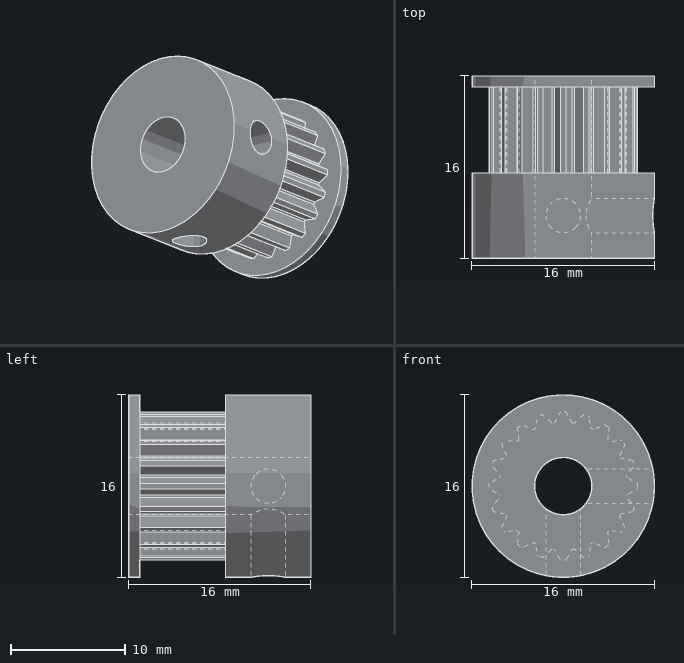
import cadquery as cq
import math

outer_diameter = 16.0
total_length = 16.0
hub_length = 7.5
flange_thickness = 1.0
bore_diameter = 5.0

tooth_count = 20
tip_radius = 6.5
root_radius = 5.6
tip_width = 0.48
root_width = 0.2

screw_hole_diameter = 3.0

hub_face_y = -total_length / 2
hub_end_y = hub_face_y + hub_length
flange_start_y = total_length / 2 - flange_thickness
screw_hole_y = hub_face_y + hub_length / 2


def section_at(y):
    """Workplane across the axis at y, with local x along X and local y along Z, facing -Y."""
    return cq.Workplane("XZ", origin=(0, y, 0))


def disc(start_y, length):
    """Full-diameter disc that extends from start_y toward +Y."""
    return section_at(start_y).circle(outer_diameter / 2).extrude(-length)


def flat_ends(radius, width, angle):
    """Two ends of a flat of the given width, centred at an angle and radius from the axis."""
    cosine = math.cos(angle)
    sine = math.sin(angle)
    return [
        (radius * cosine - side * sine, radius * sine + side * cosine)
        for side in (-width / 2, width / 2)
    ]


def toothed_core():
    """Toothed cylinder joining the hub to the flange."""
    pitch_angle = 2 * math.pi / tooth_count
    outline = []
    for tooth in range(tooth_count):
        tip_angle = tooth * pitch_angle
        outline += flat_ends(tip_radius, tip_width, tip_angle)
        outline += flat_ends(root_radius, root_width, tip_angle + pitch_angle / 2)
    core_length = flange_start_y - hub_end_y
    return section_at(hub_end_y).polyline(outline).close().extrude(-core_length)


def screw_hole(direction):
    """Radial cutter from the axis through the hub wall."""
    axis_point = cq.Vector(0, screw_hole_y, 0)
    cutter = cq.Solid.makeCylinder(
        screw_hole_diameter / 2, outer_diameter / 2, axis_point, cq.Vector(*direction)
    )
    return cq.Workplane(cutter)


hub = disc(hub_face_y, hub_length)
flange = disc(flange_start_y, flange_thickness)
bore = section_at(hub_face_y).circle(bore_diameter / 2).extrude(-total_length)

result = hub.union(toothed_core()).union(flange).cut(bore)
for direction in ((1, 0, 0), (0, 0, -1)):
    result = result.cut(screw_hole(direction))